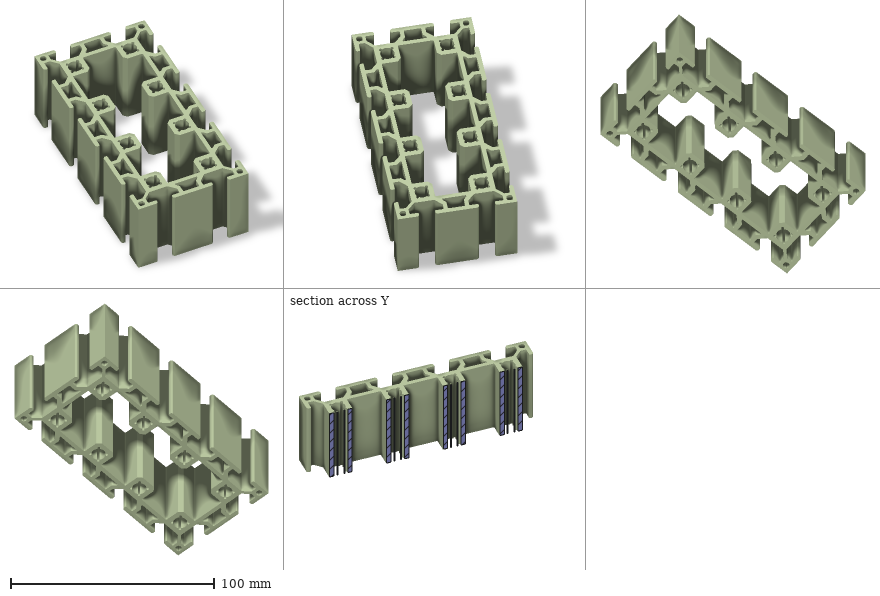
import cadquery as cq
pitch = 30.0
long_slots = 4
short_slots = 2
length = pitch * long_slots
width = pitch * short_slots
height = 40.0

slot_depth = 8.9
slot_opening = 8.2
lip_thickness = 2.3
cavity_width = 17.2
floor_width = 10.0
lip_chamfer = 0.7
lip_chamfer_radius = 0.6
lip_inner_radius = 0.5
corner_radius = 0.5
bend_radius = 0.7

cell_wall = 2.0
cell_base_width = 12.0
cell_base_lip = 0.8
cell_width = pitch - cavity_width - 2 * cell_wall

hollow_depth = 11.0
boss_width = 12.0
boss_chamfer = 1.9
boss_edge_radius = 0.6
boss_end = width / 2 - (pitch + boss_width) / 2

bore_diameter = 7.1
relief_reach = 3.6
relief_diameter = 1.5

corner_hole_diameter = 3.2
corner_hole_square = 2.6
corner_hole_offset = 3.2


def prism(points):
    """Extrude a closed outline over the full height."""
    return cq.Workplane("XY").polyline(points).close().extrude(height)


def mirrored(half_outline):
    """Complete a right-hand half outline with its mirror image about the Y axis."""
    return half_outline + [(-x, y) for x, y in reversed(half_outline)]


def round_upright_edges(solid, points, radius):
    """Fillet the vertical edges that pass through the given XY points."""
    upright = solid.edges("|Z")
    picked = []
    for x, y in points:
        nearest = cq.selectors.NearestToPointSelector((x, y, height / 2))
        picked.append(upright.edges(nearest).val())
    return cq.Workplane("XY").newObject([solid.findSolid().fillet(radius, picked)])


def slot_cutter():
    """T-slot opening towards +Y, with the outer face on Y = 0."""
    half_opening = slot_opening / 2
    half_cavity = cavity_width / 2
    half_floor = floor_width / 2
    taper_start = slot_depth - (half_cavity - half_floor)
    chamfer_top = (half_opening + lip_chamfer, 0)
    chamfer_bottom = (half_opening, -lip_chamfer)
    inner_lip = (half_opening, -lip_thickness)
    taper_edge = (half_cavity, -taper_start)
    cavity_corner = (half_cavity, -lip_thickness)
    cutter = prism(mirrored([
        (slot_opening, lip_thickness),
        (slot_opening, 0),
        chamfer_top,
        chamfer_bottom,
        inner_lip,
        cavity_corner,
        taper_edge,
        (half_floor, -slot_depth),
    ]))
    chamfer_edges = mirrored([chamfer_top, chamfer_bottom])
    cutter = round_upright_edges(cutter, chamfer_edges, lip_chamfer_radius)
    cutter = round_upright_edges(cutter, mirrored([inner_lip]), lip_inner_radius)
    cutter = round_upright_edges(cutter, mirrored([taper_edge]), bend_radius)
    return round_upright_edges(cutter, mirrored([cavity_corner]), corner_radius)


def cell_cutter():
    """Closed cell between two slots, with the outer face on Y = 0."""
    half_width = cell_width / 2
    half_base = cell_base_width / 2
    base_top = slot_depth - cell_base_lip
    flare_start = base_top - (half_base - half_width)
    flare_edge = (half_width, -flare_start)
    top_corner = (half_width, -lip_thickness)
    cutter = prism(mirrored([
        top_corner,
        flare_edge,
        (half_base, -base_top),
        (half_base, -slot_depth),
    ]))
    cutter = round_upright_edges(cutter, mirrored([flare_edge]), bend_radius)
    return round_upright_edges(cutter, mirrored([top_corner]), corner_radius)


def cut_side(body, slot, cell, slots, face_distance, angle):
    """Cut a row of slots, with cells between them, into the side turned by angle from +Y."""
    first_slot = -pitch * (slots - 1) / 2
    for i in range(slots):
        place = (first_slot + i * pitch, face_distance, 0)
        body = body.cut(slot.translate(place).rotate((0, 0, 0), (0, 0, 1), angle))
    for i in range(slots - 1):
        place = (first_slot + (i + 0.5) * pitch, face_distance, 0)
        body = body.cut(cell.translate(place).rotate((0, 0, 0), (0, 0, 1), angle))
    return body


def boss_centers():
    """Boss positions: behind every slot of the two long sides."""
    x_first = -pitch * (long_slots - 1) / 2
    y_boss = width / 2 - pitch / 2
    return [(x_first + i * pitch, y) for i in range(long_slots) for y in (-y_boss, y_boss)]


def boss_block(x, side):
    """Boss at X = x with chamfered tip, on the long wall given by side (+1 or -1)."""
    half_boss = boss_width / 2
    chamfer_start = boss_end + boss_chamfer
    half_tip = half_boss - boss_chamfer
    block = prism([
        (x - half_boss, side * width / 2),
        (x - half_boss, side * chamfer_start),
        (x - half_tip, side * boss_end),
        (x + half_tip, side * boss_end),
        (x + half_boss, side * chamfer_start),
        (x + half_boss, side * width / 2),
    ])
    tip_edges = [
        (x + end * half, side * y)
        for end in (-1, 1)
        for half, y in ((half_boss, chamfer_start), (half_tip, boss_end))
    ]
    return round_upright_edges(block, tip_edges, boss_edge_radius)


def central_hollow():
    """Inner hollow with the screw bosses left standing along its long walls."""
    half_x = length / 2 - hollow_depth
    half_y = width / 2 - hollow_depth
    outer_boss = pitch * (long_slots - 1) / 2
    hollow = cq.Workplane("XY").rect(2 * half_x, 2 * half_y).extrude(height)
    root_corners = []
    for x, y in boss_centers():
        side = 1 if y > 0 else -1
        outward = 1 if x > 0 else -1
        hollow = hollow.cut(boss_block(x, side))
        root_corners.append((x - outward * boss_width / 2, side * half_y))
        if abs(x) < outer_boss:
            root_corners.append((x + outward * boss_width / 2, side * half_y))
        else:
            link = prism([
                (x, side * boss_end),
                (x, side * width / 2),
                (outward * length / 2, side * width / 2),
                (outward * length / 2, side * boss_end),
            ])
            hollow = hollow.cut(link)
            root_corners.append((outward * half_x, side * boss_end))
    return round_upright_edges(hollow, root_corners, corner_radius)


def bore_cutter():
    """Round screw bore with a small round relief at each corner."""
    relief_center = relief_reach - relief_diameter / 2
    bore = cq.Workplane("XY").circle(bore_diameter / 2).extrude(height)
    reliefs = (
        cq.Workplane("XY")
        .rect(2 * relief_center, 2 * relief_center, forConstruction=True)
        .vertices()
        .circle(relief_diameter / 2)
        .extrude(height)
    )
    return bore.union(reliefs)


def corner_hole_cutter():
    """Round hole joined with a square whose corners reach past the circle."""
    hole = cq.Workplane("XY").circle(corner_hole_diameter / 2).extrude(height)
    square = cq.Workplane("XY").rect(corner_hole_square, corner_hole_square).extrude(height)
    return hole.union(square)


body = cq.Workplane("XY").rect(length, width).extrude(height)
slot = slot_cutter()
cell = cell_cutter()
for angle in (0, 180):
    body = cut_side(body, slot, cell, long_slots, width / 2, angle)
for angle in (90, 270):
    body = cut_side(body, slot, cell, short_slots, length / 2, angle)

body = body.cut(central_hollow())

bore = bore_cutter()
for x, y in boss_centers():
    body = body.cut(bore.translate((x, y, 0)))

corner_hole = corner_hole_cutter()
for x in (corner_hole_offset - length / 2, length / 2 - corner_hole_offset):
    for y in (corner_hole_offset - width / 2, width / 2 - corner_hole_offset):
        body = body.cut(corner_hole.translate((x, y, 0)))

result = body.solids()